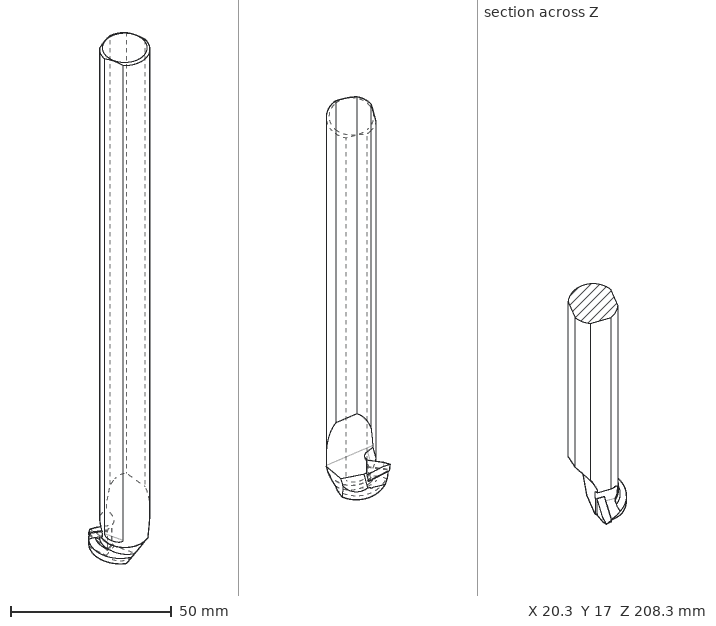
import cadquery as cq
import math

total_height = 208.25
total_depth = 17.03

cut_reach = 30.0

shank_radius = 7.85
flat_offset = 7.1
shank_axis_x = 0.15
shank_left_x = shank_axis_x - flat_offset
shank_bottom = 8.7
flat_end_z = 11.6
flat_runout_radius = 1.2
end_chamfer_height = 0.5
end_chamfer_depth = 0.9

tip_x = -12.27
tip_z = 4.27
flank_angle = 30.0
flank_slope = math.tan(math.radians(flank_angle))

head_axis_x = -1.4
head_radius = total_depth - flat_offset
head_cone_bottom_radius = 5.0
rim_bottom = 3.0
rim_top = 5.3
neck_radius = 7.95
relief_bottom_x = 3.3

face_y = 0.98
runout_end_z = 12.6
runout_mid_y = 3.6
runout_mid_z = 19.3
runout_top_z = 24.4
runout_lean = 0.42

insert_top_y = 0.5
insert_bottom_y = -2.0
insert_inner_x = tip_x + tip_z / flank_slope
rake_length = 2.1
rake_drop = 0.5
front_clearance = 0.7
seat_bottom_y = -5.0
seat_setback = 0.8
seat_tip_x = tip_x + seat_setback

gullet_top_z = 14.4
gullet_radius = 3.3


def make_flat_cutter():
    """Flat-milling volume on the +X side, with a rounded runout at its lower end."""
    outer_x = flat_offset + flat_runout_radius
    arc_offset = flat_runout_radius * math.sqrt(0.5)
    arc_mid = (outer_x - arc_offset, flat_end_z - arc_offset)
    return (
        cq.Workplane("XZ")
        .moveTo(flat_offset, flat_end_z)
        .threePointArc(arc_mid, (outer_x, flat_end_z - flat_runout_radius))
        .lineTo(outer_x, total_height)
        .lineTo(flat_offset, total_height)
        .close()
        .extrude(shank_radius, both=True)
    )


def make_shank():
    length = total_height - shank_bottom
    shank = (
        cq.Workplane("XY", origin=(0, 0, shank_bottom))
        .circle(shank_radius)
        .extrude(length)
        .faces(">Z")
        .chamfer(end_chamfer_height, end_chamfer_depth)
    )
    for angle in (90, 180, 270):
        shank = shank.cut(make_flat_cutter().rotate((0, 0, 0), (0, 0, 1), angle))
    return shank.translate((shank_axis_x, 0, 0))


def make_disc():
    cone_top_z = rim_top + (head_radius - neck_radius) * flank_slope
    return (
        cq.Workplane("XZ")
        .polyline([
            (0, 0),
            (head_cone_bottom_radius, 0),
            (head_radius, rim_bottom),
            (head_radius, rim_top),
            (neck_radius, cone_top_z),
            (0, cone_top_z),
        ])
        .close()
        .revolve(360, (0, 0, 0), (0, 1, 0))
        .translate((head_axis_x, 0, 0))
    )


def make_neck():
    return (
        cq.Workplane("XY", origin=(shank_axis_x, 0, rim_top))
        .circle(neck_radius)
        .extrude(shank_bottom - rim_top)
    )


def make_tip_wedge(edge_x, top_y, bottom_y):
    """60 degree wedge whose sharp edge lies at edge_x, level with the cutting tip."""
    half_height = (insert_inner_x - edge_x) * flank_slope
    return (
        cq.Workplane("XZ", origin=(0, top_y, 0))
        .polyline([
            (edge_x, tip_z),
            (insert_inner_x, tip_z + half_height),
            (insert_inner_x, tip_z - half_height),
        ])
        .close()
        .extrude(top_y - bottom_y)
    )


def make_seat():
    envelope = (
        cq.Workplane("XY", origin=(head_axis_x, 0, 0))
        .circle(head_radius)
        .extrude(shank_bottom)
    )
    return make_tip_wedge(seat_tip_x, face_y, seat_bottom_y).intersect(envelope)


def make_back_relief():
    """Everything beyond the inclined back of the head."""
    return (
        cq.Workplane("XZ")
        .polyline([
            (relief_bottom_x, 0),
            (shank_axis_x + shank_radius, shank_bottom),
            (cut_reach, shank_bottom),
            (cut_reach, 0),
        ])
        .close()
        .extrude(cut_reach, both=True)
    )


def make_tip_relief():
    """Everything below the plane of the lower seat flank."""
    return (
        cq.Workplane("XZ")
        .polyline([
            (seat_tip_x, tip_z),
            (seat_tip_x + tip_z / flank_slope, 0),
            (seat_tip_x, 0),
        ])
        .close()
        .extrude(cut_reach, both=True)
    )


def make_gullet():
    """V groove along Y with one 45 degree wall, one wall on the seat flank and a round root."""
    rise = gullet_top_z - tip_z - flank_slope * (shank_left_x - seat_tip_x)
    depth = rise / (1 + flank_slope)
    root = (shank_left_x + depth, gullet_top_z - depth)
    return (
        cq.Workplane("XZ")
        .polyline([
            (shank_left_x - cut_reach, gullet_top_z + cut_reach),
            root,
            (seat_tip_x - cut_reach, tip_z - cut_reach * flank_slope),
        ])
        .close()
        .extrude(cut_reach, both=True)
        .edges("|Y")
        .edges(">X")
        .fillet(gullet_radius)
    )


def runout_section(x):
    lift = -runout_lean * x
    return (
        cq.Workplane("YZ", origin=(x, 0, 0))
        .moveTo(face_y, -cut_reach)
        .lineTo(face_y, runout_end_z + lift)
        .threePointArc((runout_mid_y, runout_mid_z + lift), (flat_offset, runout_top_z + lift))
        .lineTo(cut_reach, runout_top_z + lift)
        .lineTo(cut_reach, -cut_reach)
        .close()
        .wires()
        .val()
    )


def make_face_cut():
    sections = [runout_section(-cut_reach), runout_section(cut_reach)]
    return cq.Workplane(cq.Solid.makeLoft(sections, True))


def make_insert_pocket():
    """Clears the holder above and in front of the insert's seat."""
    return (
        cq.Workplane("XY")
        .polyline([
            (insert_inner_x, insert_bottom_y),
            (insert_inner_x, cut_reach),
            (insert_inner_x - cut_reach, cut_reach),
            (insert_inner_x - cut_reach, insert_bottom_y),
        ])
        .close()
        .extrude(shank_bottom)
    )


def make_insert():
    edge_y = insert_top_y - rake_drop
    outline = (
        cq.Workplane("XY")
        .polyline([
            (tip_x, edge_y),
            (tip_x + rake_length, insert_top_y),
            (insert_inner_x, insert_top_y),
            (insert_inner_x, insert_bottom_y),
            (tip_x + front_clearance, insert_bottom_y),
        ])
        .close()
        .extrude(cut_reach)
    )
    blank = make_tip_wedge(tip_x, insert_top_y, insert_bottom_y)
    return blank.intersect(outline)


holder = make_shank().union(make_disc()).union(make_neck()).union(make_seat())
for cutter in (make_back_relief(), make_tip_relief(), make_gullet(), make_face_cut(), make_insert_pocket()):
    holder = holder.cut(cutter)
insert = make_insert()

result = cq.Compound.makeCompound([holder.solids().val(), insert.solids().val()])